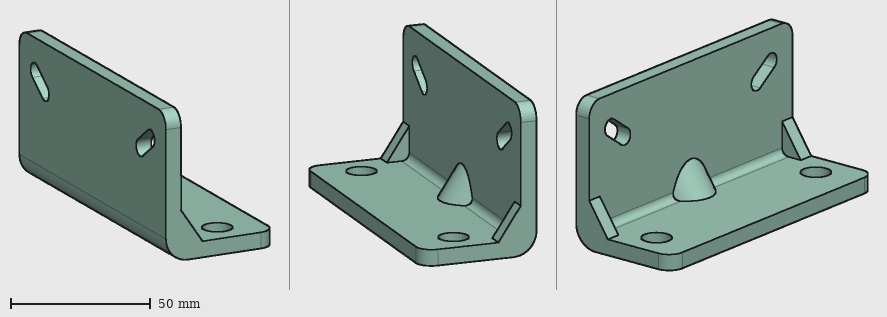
import cadquery as cq
import math

length = 115
depth = 44.0
height = 56.0
thickness = 6.1
corner_radius = 6.0
outer_bend_radius = 9.0
inner_bend_radius = outer_bend_radius - thickness

gusset_width = 6.0
gusset_depth = 14.7
gusset_height = 18.9

rib_radius = 11.7

base_hole_diameter = 11.0
base_hole_spacing = 90.0
base_hole_y = 27.0

slot_width = 6.4
slot_spacing = 82.7
slot_center_z = 40.5
slot_run = 7.9
slot_drop = 5.6


def bracket_body():
    """L profile with a rounded bend, extruded along X."""
    profile = (
        cq.Workplane("YZ")
        .polyline([(0, 0), (depth, 0), (depth, thickness), (thickness, thickness),
                   (thickness, height), (0, height)])
        .close()
        .extrude(length / 2, both=True)
    )
    body = profile.edges(cq.NearestToPointSelector((0, 0, 0))).fillet(outer_bend_radius)
    body = body.edges(cq.NearestToPointSelector((0, thickness, thickness))).fillet(inner_bend_radius)
    body = body.faces(">Y").edges("|Z").fillet(corner_radius)
    return body.faces(">Z").edges("|Y").fillet(corner_radius)


def gusset(x_start):
    """Triangular web whose square corner is buried in the two plates."""
    buried = outer_bend_radius / 2
    return (
        cq.Workplane("YZ", origin=(x_start, 0, 0))
        .polyline([(buried, buried), (gusset_depth, buried), (gusset_depth, thickness),
                   (thickness, gusset_height), (buried, gusset_height)])
        .close()
        .extrude(gusset_width)
    )


def central_rib():
    """Part of the leaning cylinder that stands inside the corner."""
    run = gusset_depth - thickness
    rise = gusset_height - thickness
    slope_length = math.hypot(run, rise)
    axis_y = (gusset_depth + thickness) / 2 - rib_radius * rise / slope_length
    axis_z = (gusset_height + thickness) / 2 - rib_radius * run / slope_length
    axis_plane = cq.Plane(origin=(0, axis_y, axis_z), xDir=(1, 0, 0), normal=(0, -run, rise))
    cylinder = cq.Workplane(axis_plane).circle(rib_radius).extrude(2 * slope_length, both=True)
    buried = outer_bend_radius / 2
    corner_space = cq.Workplane("XY", origin=(0, buried, buried)).box(
        length, depth, height, centered=(True, False, False)
    )
    return cylinder.intersect(corner_space)


def slot_cutter(side):
    """Through slot whose outer end is higher than its inner end."""
    angle = math.degrees(math.atan2(slot_drop, slot_run))
    slot_length = math.hypot(slot_run, slot_drop) + slot_width
    return (
        cq.Workplane("XZ", origin=(side * slot_spacing / 2, 0, slot_center_z))
        .slot2D(slot_length, slot_width, side * angle)
        .extrude(-thickness)
    )


result = bracket_body()
for x_start in (-length / 2, length / 2 - gusset_width):
    result = result.union(gusset(x_start))
result = result.union(central_rib())
base_holes = (
    cq.Workplane("XY")
    .pushPoints([(-base_hole_spacing / 2, base_hole_y), (base_hole_spacing / 2, base_hole_y)])
    .circle(base_hole_diameter / 2)
    .extrude(thickness)
)
result = result.cut(base_holes)
for side in (-1, 1):
    result = result.cut(slot_cutter(side))